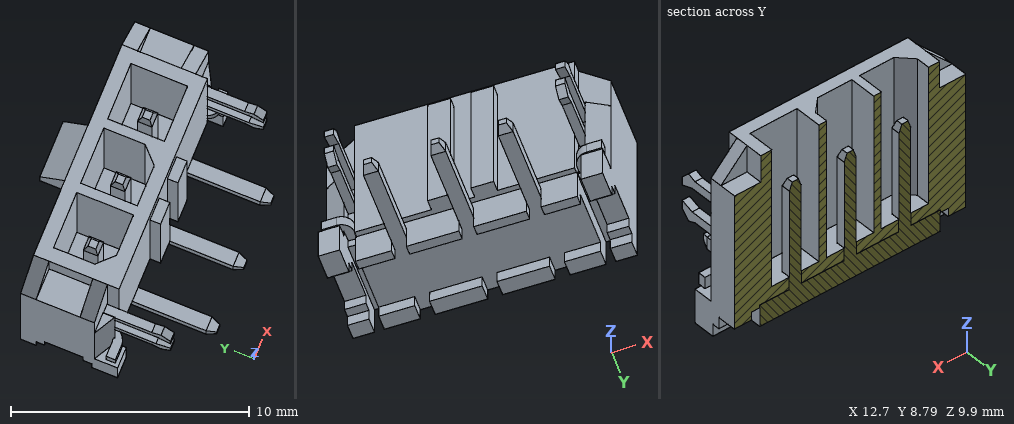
import cadquery as cq
import math

length = 12.65
height = 9.9
pin_pitch = 3.0
pin_positions = (-pin_pitch, 0, pin_pitch)

core_half = 4.9
core_front = 3.88
core_bottom = 1.83
cavity_size = 2.57
cavity_center = 1.95
cavity_chamfer = 0.7
cavity_floor = 2.53

rib_inner = 0.45
rib_width = 1.01
rib_front = 4.36
rib_top = 9.07
latch_width = 2.58
latch_reach = 1.19
latch_top = 9.3
latch_tip_height = 0.75
latch_fillet = 0.33

end = length / 2
ear_front = 3.35
ear_inner = 5.36
ear_bevel = end - core_half
bevel_bottom = height - ear_bevel
web_bottom = 1.7
wedge_top = 6.58
foot_front = 4.4
foot_height = 0.66
back_foot = 0.71
front_foot = 3.23
ear_pocket_front = 2.7
ear_notch_back = 1.09
ear_notch_front = 2.83
ear_notch_top = 1.26

clip_inner = 4.93
clip_thickness = 0.42
clip_outer = clip_inner + clip_thickness
clip_center_z = 5.29
prong_near = 0.63
prong_far = 1.11
prong_tip = 6.4
prong_shoulder = 5.97
barb_start_outer = 5.55
barb_start_inner = 5.74
barb_near = 0.4
barb_far = 1.28
tip_far = 0.85
tab_bottom = 2.15
tab_top = 2.76
tab_end = 6.24
tab_front = 4.26
bend_outer = 0.62
bend_inner = bend_outer - clip_thickness

carrier_half = 4.93
carrier_front = 3.64
pin_size = 0.66
pin_bottom = 0.68
pin_center_z = pin_bottom + pin_size / 2
pin_reach = 7.6
pin_top = 7.59
pin_tip_length = 0.42
pin_tip_size = 0.35


def block(x0, x1, back, front, z0, z1):
    """Box between two X positions, two distances in front of the back wall and two heights."""
    return cq.Workplane("XY").box(x1 - x0, front - back, z1 - z0, centered=False).translate((x0, -front, z0))


def mirrored_pair(shape):
    """The right-hand shape together with its copy at the left-hand end."""
    return shape.union(shape.mirror("YZ"))


def make_cavity(x, chamfered_side):
    """Square cavity; chamfered_side is -1 or 1 for a cut front corner, 0 for none."""
    half = cavity_size / 2
    cavity = block(x - half, x + half, cavity_center - half, cavity_center + half, cavity_floor, height)
    if chamfered_side:
        corner = "<X and <Y" if chamfered_side < 0 else ">X and <Y"
        cavity = cavity.edges("|Z").edges(corner).chamfer(cavity_chamfer)
    return cavity


def make_latch():
    """Sloped catch on the back wall with a rounded inside corner below it."""
    latch_slope_end = latch_top - latch_reach
    latch_bottom = latch_slope_end - latch_tip_height
    arc_offset = latch_fillet * (1 - math.sqrt(0.5))
    return (
        cq.Workplane("YZ")
        .moveTo(0, latch_top)
        .lineTo(latch_reach, latch_slope_end)
        .lineTo(latch_reach, latch_bottom)
        .lineTo(latch_fillet, latch_bottom)
        .threePointArc((arc_offset, latch_bottom - arc_offset), (0, latch_bottom - latch_fillet))
        .close()
        .extrude(latch_width / 2, both=True)
    )


def make_ear():
    """Right-hand ear: bevelled block on a web, a tapering wedge and a stepped foot."""
    upper = (
        cq.Workplane("XZ")
        .polyline([(core_half, core_bottom), (end, core_bottom), (end, bevel_bottom), (core_half, height)])
        .close()
        .extrude(ear_front)
    )
    upper = upper.cut(block(core_half, end, back_foot, ear_pocket_front, bevel_bottom, height))
    web = block(carrier_half, ear_inner, 0, ear_front, web_bottom, core_bottom)
    wedge = (
        cq.Workplane("XY", origin=(0, 0, core_bottom))
        .polyline([(ear_inner, -ear_front), (end, -ear_front), (ear_inner, -core_front)])
        .close()
        .extrude(wedge_top - core_bottom)
    )
    foot = block(ear_inner, end, 0, foot_front, 0, core_bottom)
    foot = foot.cut(block(ear_inner, end, back_foot, front_foot, 0, foot_height))
    foot = foot.cut(block(ear_inner, end, ear_notch_back, ear_notch_front, 0, ear_notch_top))
    return upper.union(web).union(wedge).union(foot)


def make_prong(side):
    """Barbed prong above (side = 1) or below (side = -1) the middle of the clip."""
    outline = [
        (ear_front, prong_near),
        (ear_front, prong_far),
        (barb_start_outer, prong_far),
        (prong_shoulder, barb_far),
        (prong_tip, tip_far),
        (prong_tip, barb_near),
        (barb_start_inner, prong_near),
    ]
    points = [(-y, clip_center_z + side * z) for y, z in outline]
    return cq.Workplane("YZ", origin=(clip_inner, 0, 0)).polyline(points).close().extrude(clip_thickness)


def make_tab():
    """Clip tab that leaves the ear forward and bends outward over the wedge."""
    bend_x = clip_inner + bend_outer
    bend_y = -tab_front + bend_outer
    diagonal = math.sqrt(0.5)
    return (
        cq.Workplane("XY", origin=(0, 0, tab_bottom))
        .moveTo(clip_inner, -ear_front)
        .lineTo(clip_inner, bend_y)
        .threePointArc(
            (bend_x - bend_outer * diagonal, bend_y - bend_outer * diagonal),
            (bend_x, bend_y - bend_outer),
        )
        .lineTo(tab_end, bend_y - bend_outer)
        .lineTo(tab_end, bend_y - bend_inner)
        .lineTo(bend_x, bend_y - bend_inner)
        .threePointArc(
            (bend_x - bend_inner * diagonal, bend_y - bend_inner * diagonal),
            (clip_outer, bend_y),
        )
        .lineTo(clip_outer, -ear_front)
        .close()
        .extrude(tab_top - tab_bottom)
    )


def pin_tip(plane, origin):
    """Pyramid-shaped pin end that starts at origin and points along the plane's normal."""
    return (
        cq.Workplane(plane, origin=origin)
        .rect(pin_size, pin_size)
        .workplane(offset=pin_tip_length)
        .rect(pin_tip_size, pin_tip_size)
        .loft(ruled=True)
    )


def make_pin(x):
    """Square pin that rises into its cavity and turns forward under the shroud."""
    half = pin_size / 2
    back = cavity_center - half
    mating_end = pin_top - pin_tip_length
    tail_end = pin_reach - pin_tip_length
    post = block(x - half, x + half, back, cavity_center + half, pin_bottom, mating_end)
    tail = block(x - half, x + half, back, tail_end, pin_bottom, pin_bottom + pin_size)
    pin = post.union(tail)
    pin = pin.union(pin_tip("XY", (x, -cavity_center, mating_end)))
    return pin.union(pin_tip("XZ", (x, -tail_end, pin_center_z)))


def make_housing():
    """Shroud with ribs, latch, ears and the clips held in the ears."""
    housing = block(-core_half, core_half, 0, core_front, core_bottom, height)
    rib = block(rib_inner, rib_inner + rib_width, core_front, rib_front, core_bottom, rib_top)
    clip = make_prong(1).union(make_prong(-1)).union(make_tab())
    housing = housing.union(mirrored_pair(rib)).union(make_latch())
    housing = housing.union(mirrored_pair(make_ear().union(clip)))
    half = pin_size / 2
    for x, chamfered_side in zip(pin_positions, (-1, 1, 0)):
        housing = housing.cut(make_cavity(x, chamfered_side))
        pin_hole = block(
            x - half, x + half, cavity_center - half, cavity_center + half, core_bottom, cavity_floor
        )
        housing = housing.cut(pin_hole)
    return housing


def make_pin_carrier():
    """Block under the shroud that carries the pins, with a channel and pin slots below."""
    carrier = block(-carrier_half, carrier_half, 0, carrier_front, 0, core_bottom)
    carrier = carrier.cut(block(-carrier_half, carrier_half, back_foot, front_foot, 0, pin_bottom))
    for x in pin_positions:
        slot = block(x - pin_size / 2, x + pin_size / 2, 0, carrier_front, 0, pin_bottom)
        carrier = carrier.cut(slot).union(make_pin(x))
    return carrier


housing = make_housing()
pin_carrier = make_pin_carrier()
result = cq.Compound.makeCompound([housing.val(), pin_carrier.val()])